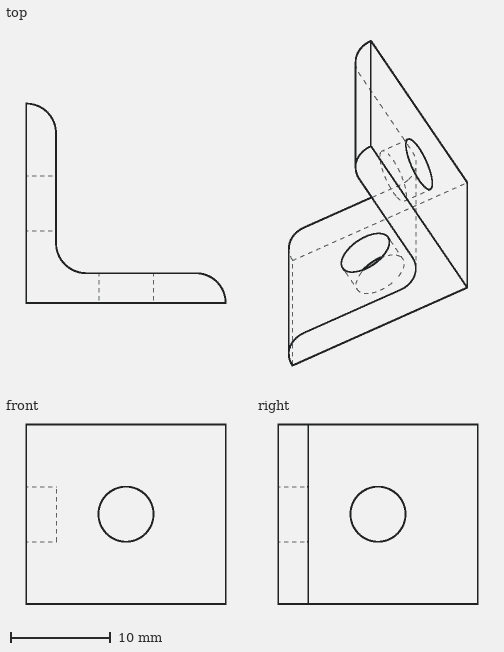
import cadquery as cq

leg_length = 20.0
height = 18.0
thickness = 3.0
hole_diameter = 5.5
inner_radius = thickness
tip_radius = thickness


def angle_profile():
    """Equal-leg angle section with its outer corner at the origin."""
    blank = cq.Workplane("XY").rect(leg_length, leg_length, centered=False).extrude(height)
    inner_side = leg_length - thickness
    notch = (
        cq.Workplane("XY")
        .center(thickness, thickness)
        .rect(inner_side, inner_side, centered=False)
        .extrude(height)
        .edges("|Z and <X and <Y")
        .fillet(inner_radius)
    )
    return blank.cut(notch)


def tip_rounding():
    """Material outside the quarter-round at the tip of the leg along X."""
    tip_start = leg_length - tip_radius
    corner = (
        cq.Workplane("XY")
        .moveTo(tip_start, tip_radius)
        .lineTo(leg_length, tip_radius)
        .lineTo(leg_length, 0)
        .radiusArc((tip_start, tip_radius), -tip_radius)
        .close()
        .extrude(height)
    )
    return corner


def swap_legs(body):
    """Mirror a body across the plane X = Y, from one leg to the other."""
    return body.mirror("YZ").rotate((0, 0, 0), (0, 0, 1), -90)


def leg_hole():
    """Cylinder through the middle of the leg along X."""
    axis_start = cq.Vector(leg_length / 2, 0, height / 2)
    along_y = cq.Vector(0, 1, 0)
    return cq.Workplane(cq.Solid.makeCylinder(hole_diameter / 2, thickness, axis_start, along_y))


result = angle_profile()
for cutter in (tip_rounding(), leg_hole()):
    result = result.cut(cutter).cut(swap_legs(cutter))